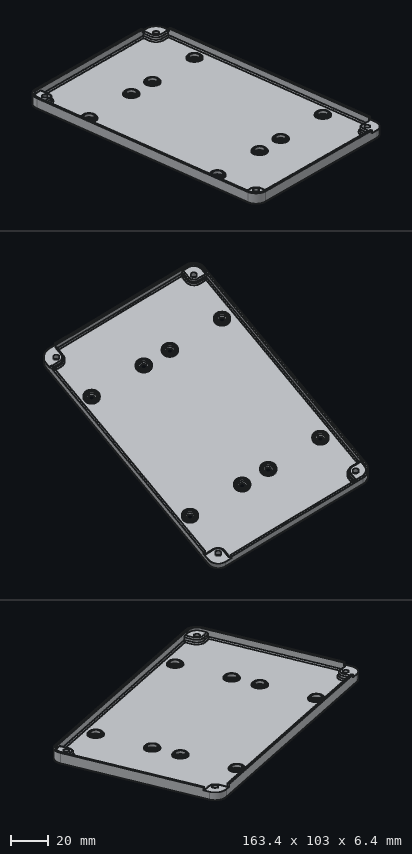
import cadquery as cq

length = 163.4
width = 103.0
height = 6.4
corner_radius = 6.7
wall = 1.1
floor = 1.5
base_chamfer = 0.8

post_size = 10.6
post_height = 4.7
post_radius = 4.2
post_top_chamfer = 0.8
screw_hole_diameter = 3.3
screw_hole_x = length / 2 - corner_radius
screw_hole_y = width / 2 - corner_radius

left_cutout = 11.0
right_cutout = 10.3

boss_diameter = 8.0
boss_height = 1.1
boss_chamfer = 0.5
boss_hole_diameter = 3.3
counterbore_diameter = 5.7
counterbore_floor = 0.5
boss_x = 45.6
boss_inner_y = 8.5
boss_outer_y = 42.5


def mirrored_points(x, y):
    """The four points at (+-x, +-y)."""
    return [(side_x * x, side_y * y) for side_x in (-1, 1) for side_y in (-1, 1)]


def rounded_block(size_x, size_y, radius, bottom, top):
    """Centred block with rounded vertical edges between two heights."""
    return (
        cq.Workplane("XY", origin=(0, 0, bottom))
        .rect(size_x, size_y)
        .extrude(top - bottom)
        .edges("|Z")
        .fillet(radius)
    )


def interior_block(bottom, top):
    """Block that fills the space inside the outer wall between two heights."""
    return rounded_block(length - 2 * wall, width - 2 * wall, corner_radius - wall, bottom, top)


def corner_post(corner_x, corner_y):
    """Post centred on a tray corner; the quarter inside the tray is the one that shows."""
    return (
        rounded_block(2 * post_size, 2 * post_size, post_radius, 0, post_height)
        .faces(">Z")
        .chamfer(post_top_chamfer)
        .translate((corner_x, corner_y, 0))
    )


def make_cavity():
    """Tray interior less the corner posts, narrowed at the floor by a chamfer."""
    lower = interior_block(floor, post_height)
    for corner_x, corner_y in mirrored_points(length / 2, width / 2):
        lower = lower.cut(corner_post(corner_x, corner_y))
    lower = lower.faces("<Z").chamfer(base_chamfer)
    return lower.union(interior_block(post_height, height))


def rim_cutout(side_x, size):
    """Square clearance above post height in a +Y corner."""
    return (
        cq.Workplane("XY")
        .box(size, size, height - post_height, centered=(True, True, False))
        .translate((side_x * (length - size) / 2, (width - size) / 2, post_height))
    )


def make_boss():
    """Standoff turned about the Z axis and standing on the tray floor."""
    radius = boss_diameter / 2
    top = floor + boss_height
    return (
        cq.Workplane("XZ")
        .moveTo(0, floor)
        .lineTo(radius + boss_chamfer, floor)
        .lineTo(radius, floor + boss_chamfer)
        .lineTo(radius, top - boss_chamfer)
        .lineTo(radius - boss_chamfer, top)
        .lineTo(0, top)
        .close()
        .revolve(360, (0, 0, 0), (0, 1, 0))
    )


def hole_cutters(points, diameter, bottom=0.0):
    """Cylinders that cut upwards from a given height through everything above."""
    return (
        cq.Workplane("XY", origin=(0, 0, bottom))
        .pushPoints(points)
        .circle(diameter / 2)
        .extrude(height)
    )


tray = rounded_block(length, width, corner_radius, 0, height).cut(make_cavity())
tray = tray.cut(rim_cutout(-1, left_cutout))
tray = tray.cut(rim_cutout(1, right_cutout))

boss_points = mirrored_points(boss_x, boss_inner_y) + mirrored_points(boss_x, boss_outer_y)
boss = make_boss()
for x, y in boss_points:
    tray = tray.union(boss.translate((x, y, 0)))
tray = tray.cut(hole_cutters(boss_points, boss_hole_diameter))
tray = tray.cut(hole_cutters(boss_points, counterbore_diameter, counterbore_floor))

result = tray.cut(hole_cutters(mirrored_points(screw_hole_x, screw_hole_y), screw_hole_diameter))